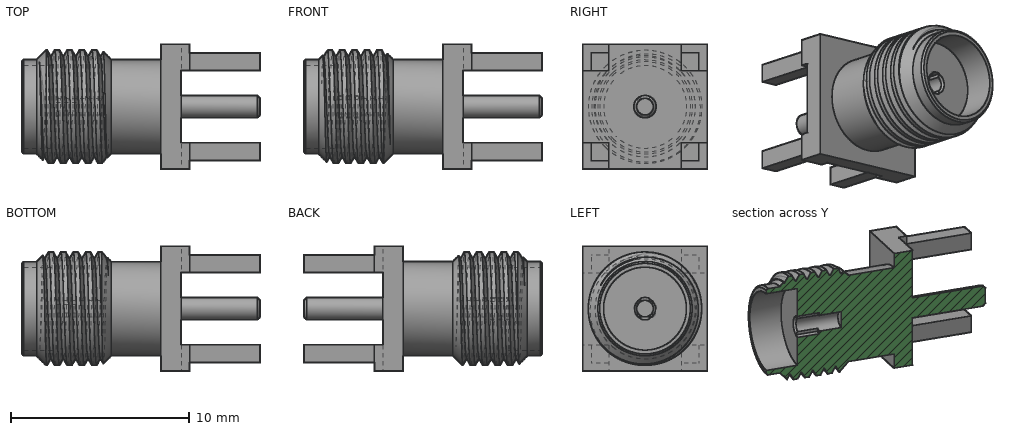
import cadquery as cq
import math

total_length = 13.36
flange_side = 7.0

barrel_radius = 2.65
lip_chamfer = 0.11
thread_start = 0.83
thread_end = 5.01
thread_radius = 3.18
thread_pitch = 0.7
groove_depth = 0.37
groove_half_angle = 30.0
groove_phase = 0.41
groove_turns = 7

bore_radius = 2.32
bore_depth = 1.9
contact_radius = 0.63
contact_hole_radius = 0.47
contact_hole_depth = 2.67
contact_rim_radius = 0.59
contact_slot_width = 0.48
contact_slot_depth = 1.34

flange_start = 7.79
plate_end = 8.92
feet_end = 9.4
foot_inner = 2.02
leg_outer = 3.02
pin_chamfer = 0.16


def rod(start, end, radius):
    """Cylinder on the connector axis between two X positions."""
    return cq.Workplane("YZ", origin=(start, 0, 0)).circle(radius).extrude(end - start)


def end_bevel(shoulder, direction):
    """Ring that trims everything outside a 45-degree cone.

    The cone meets the barrel surface at X = shoulder and widens along direction (+1 or -1).
    """
    inward = 0.67
    outward = 1.6
    outer_radius = thread_radius + 2 * inward
    tip = shoulder - direction * outward
    mouth = shoulder + direction * inward
    return (
        cq.Workplane("XY")
        .moveTo(tip, barrel_radius - outward)
        .lineTo(mouth, barrel_radius + inward)
        .lineTo(mouth, outer_radius)
        .lineTo(tip, outer_radius)
        .close()
        .revolve(360, (0, 0, 0), (1, 0, 0))
    )


def threaded_barrel():
    """Barrel with a bevel-ended collar carrying a right-handed V groove."""
    barrel = rod(0, flange_start, barrel_radius).faces("<X").chamfer(lip_chamfer)
    overrun = 0.53
    collar = rod(thread_start - overrun, thread_end + overrun, thread_radius).cut(thread_groove())
    collar = collar.cut(end_bevel(thread_start, 1)).cut(end_bevel(thread_end, -1))
    return barrel.union(collar)


def thread_groove():
    """Helical V cutter, slightly taller than the crest so it cuts cleanly."""
    overshoot = 0.04
    root_radius = thread_radius - groove_depth
    half_width = (groove_depth + overshoot) * math.tan(math.radians(groove_half_angle))
    helix = cq.Wire.makeHelix(thread_pitch, thread_pitch * groove_turns, root_radius)
    cutter = (
        cq.Workplane("XZ")
        .moveTo(root_radius, 0)
        .lineTo(thread_radius + overshoot, half_width)
        .lineTo(thread_radius + overshoot, -half_width)
        .close()
        .sweep(cq.Workplane(helix), isFrenet=True)
    )
    cutter = cutter.rotate((0, 0, 0), (0, 1, 0), 90).rotate((0, 0, 0), (1, 0, 0), 180)
    return cutter.translate((groove_phase, 0, 0))


def socket():
    """Open bore with a countersunk, slotted contact hole in its floor."""
    countersink_depth = contact_rim_radius - contact_hole_radius
    hole = rod(bore_depth, bore_depth + contact_hole_depth, contact_hole_radius)
    countersink = cq.Workplane(
        cq.Solid.makeCone(
            contact_rim_radius,
            contact_hole_radius,
            countersink_depth,
            pnt=cq.Vector(bore_depth, 0, 0),
            dir=cq.Vector(1, 0, 0),
        )
    )
    slot = (
        cq.Workplane("YZ", origin=(bore_depth, 0, 0))
        .rect(contact_slot_width, 2 * contact_radius)
        .extrude(contact_slot_depth)
        .intersect(rod(bore_depth, bore_depth + contact_slot_depth, contact_radius))
    )
    return rod(0, bore_depth, bore_radius).union(hole).union(countersink).union(slot)


def corner_posts(start, end, inner, outer):
    """Four square posts, each spanning inner to outer from both mid-planes."""
    center_distance = inner + outer
    side = outer - inner
    return (
        cq.Workplane("YZ", origin=(start, 0, 0))
        .rect(center_distance, center_distance, forConstruction=True)
        .vertices()
        .rect(side, side)
        .extrude(end - start)
    )


plate = (
    cq.Workplane("YZ", origin=(flange_start, 0, 0))
    .rect(flange_side, flange_side)
    .extrude(plate_end - flange_start)
)
feet = corner_posts(plate_end, feet_end, foot_inner, flange_side / 2)
legs = corner_posts(plate_end, total_length, foot_inner, leg_outer)
tail_pin = rod(plate_end, total_length, contact_radius).faces(">X").chamfer(pin_chamfer)

result = threaded_barrel().cut(socket())
for piece in (plate, feet, legs, tail_pin):
    result = result.union(piece)